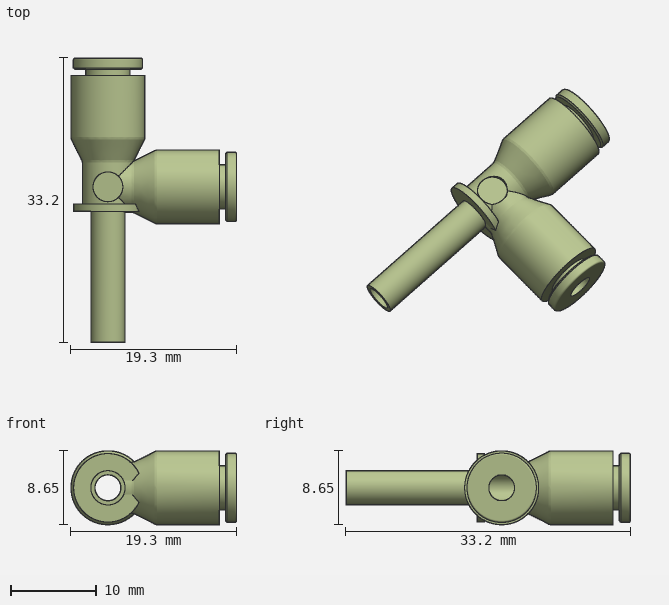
import cadquery as cq


NECK_RADIUS = 2.98
BODY_RADIUS = 4.325
CONE_START = 2.94
CONE_END = 5.63
CONE_BLEND_RADIUS = 0.65
BODY_END = 13.0
STEM_RADIUS = 2.6
COLLAR_START = 13.7
COLLAR_END = 15.015
COLLAR_RADIUS = 4.05
COLLAR_CHAMFER = 0.2
COLLAR_ROUND = 0.2

TUBE_RADIUS = 2.0
TUBE_END = 18.155
BORE_RADIUS = 1.5
FLANGE_RADIUS = 4.0
FLANGE_START = 2.0
FLANGE_END = 2.86

RECESS_RADIUS = 1.74
RECESS_FLOOR_Z = 2.4

ORIGIN = (0, 0, 0)
TOWARD_BRANCH = (1, 0, 0)
TOWARD_RUN = (0, 1, 0)
TOWARD_PLUG = (0, -1, 0)
UPWARD = (0, 0, 1)


def cylinder(radius, start, end, direction):
    """Cylinder about an axis through the origin, from start to end along it."""
    base = cq.Vector(*direction) * start
    return cq.Workplane(cq.Solid.makeCylinder(radius, end - start, base, cq.Vector(*direction)))


def blended_sleeve():
    """Neck, cone and body about +Y, with both cone edges rounded."""
    outline = (
        cq.Workplane("XY")
        .lineTo(NECK_RADIUS, 0)
        .lineTo(NECK_RADIUS, CONE_START)
        .lineTo(BODY_RADIUS, CONE_END)
        .lineTo(BODY_RADIUS, BODY_END)
        .lineTo(0, BODY_END)
        .close()
    )
    sleeve = outline.revolve(360, ORIGIN, TOWARD_RUN)
    reach = BODY_RADIUS + CONE_BLEND_RADIUS
    cone_edges = cq.selectors.BoxSelector(
        (-reach, CONE_START - CONE_BLEND_RADIUS, -reach),
        (reach, CONE_END + CONE_BLEND_RADIUS, reach),
        boundingbox=True,
    )
    return sleeve.edges(cone_edges).edges("%CIRCLE").fillet(CONE_BLEND_RADIUS)


def port():
    """Complete port pointing along +Y."""
    stem = cylinder(STEM_RADIUS, 0, COLLAR_END, TOWARD_RUN)
    collar = cylinder(COLLAR_RADIUS, COLLAR_START, COLLAR_END, TOWARD_RUN)
    collar = collar.faces("<Y").edges().chamfer(COLLAR_CHAMFER)
    collar = collar.faces(">Y").edges().fillet(COLLAR_ROUND)
    return blended_sleeve().union(stem).union(collar)


def plug():
    """Plug tube, its stop flange and the neck that carries them."""
    neck = cylinder(NECK_RADIUS, 0, FLANGE_END, TOWARD_PLUG)
    flange = cylinder(FLANGE_RADIUS, FLANGE_START, FLANGE_END, TOWARD_PLUG)
    tube = cylinder(TUBE_RADIUS, 0, TUBE_END, TOWARD_PLUG)
    return neck.union(flange).union(tube)


def bores():
    """Bore through the whole run, joined by the bore of the branch."""
    run_bore = cylinder(BORE_RADIUS, -TUBE_END, COLLAR_END, TOWARD_RUN)
    branch_bore = cylinder(BORE_RADIUS, 0, COLLAR_END, TOWARD_BRANCH)
    return run_bore.union(branch_bore)


def recess():
    """Round pocket cut down from +Z over the junction."""
    return cylinder(RECESS_RADIUS, RECESS_FLOOR_Z, BODY_RADIUS, UPWARD)


run_port = port()
branch_port = run_port.rotate(ORIGIN, UPWARD, -90)
result = run_port.union(branch_port).union(plug()).cut(bores()).cut(recess())